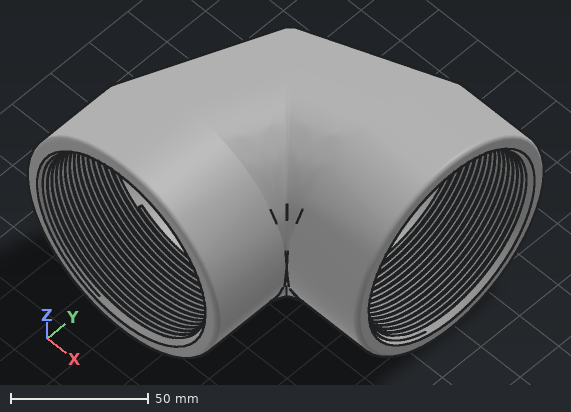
import cadquery as cq
import math


outer_radius = 49.0
face_distance = 85.0
rim_fillet = 2.0
crotch_gap = 0.02
leg_angle = 45.0
bend_band_angle = 2.7

bore_radius = 40.5
mouth_radius = 43.0
mouth_depth = mouth_radius - bore_radius

thread_pitch = 2.309
thread_depth = 1.3
thread_crest_width = 0.4
thread_overcut = 0.1
thread_start_angle = 280.0

bend_radius = outer_radius + crotch_gap
corner = (bend_radius, -bend_radius)
socket_face_y = -face_distance
socket_length = face_distance - bend_radius


def place_both(first):
    """Pair a body on the -Y socket with the same body turned onto the +X socket."""
    return first, first.rotate((0, 0, 0), (0, 0, 1), 90)


def section(angle, offset=0.0):
    """Outer circle turned about the corner from the -Y socket, then pushed along its axis."""
    turn = math.radians(angle)
    along = cq.Vector(math.sin(turn), math.cos(turn), 0)
    center = cq.Vector(
        corner[0] - bend_radius * math.cos(turn),
        corner[1] + bend_radius * math.sin(turn),
        0,
    )
    plane = cq.Plane(origin=center + along * offset, xDir=(0, 0, 1), normal=along)
    return cq.Workplane(plane).circle(outer_radius).val()


def outer_body():
    """Solid elbow: two straight sockets joined by two skewed legs and a narrow band."""
    sections = [
        section(0, -socket_length),
        section(0),
        section(leg_angle),
        section(leg_angle + bend_band_angle),
        section(90),
        section(90, socket_length),
    ]
    elbow = cq.Workplane(cq.Solid.makeLoft(sections, ruled=True))
    return elbow.faces("<Y or >X").edges().fillet(rim_fillet)


def bend_bore():
    """Round passage turned about the corner between the two sockets."""
    return (
        cq.Workplane("XZ", origin=(0, corner[1], 0))
        .circle(bore_radius)
        .revolve(90, (corner[0], 1, 0), (corner[0], 0, 0))
    )


def socket_bore():
    """Bore of the -Y socket with its conical mouth."""
    profile = [
        (0, socket_face_y),
        (mouth_radius, socket_face_y),
        (bore_radius, socket_face_y + mouth_depth),
        (bore_radius, corner[1]),
        (0, corner[1]),
    ]
    return cq.Workplane("XY").polyline(profile).close().revolve(360, (0, 0, 0), (0, 1, 0))


def thread_groove():
    """Right-hand V groove of the -Y socket."""
    half_width = (thread_pitch - thread_crest_width) / 2
    flank_slope = half_width / thread_depth
    inner_half_width = half_width + flank_slope * thread_overcut
    helix = cq.Wire.makeHelix(thread_pitch, socket_length, bore_radius)
    groove = (
        cq.Workplane("XZ")
        .polyline([
            (bore_radius - thread_overcut, -inner_half_width),
            (bore_radius + thread_depth, 0),
            (bore_radius - thread_overcut, inner_half_width),
        ])
        .close()
        .sweep(cq.Workplane(obj=helix), isFrenet=True)
    )
    return (
        groove
        .rotate((0, 0, 0), (0, 0, 1), thread_start_angle)
        .rotate((0, 0, 0), (1, 0, 0), -90)
        .translate((0, socket_face_y, 0))
    )


body = outer_body().cut(bend_bore())
for bore in place_both(socket_bore()):
    body = body.cut(bore)
for groove in place_both(thread_groove()):
    body = body.cut(groove)

result = body